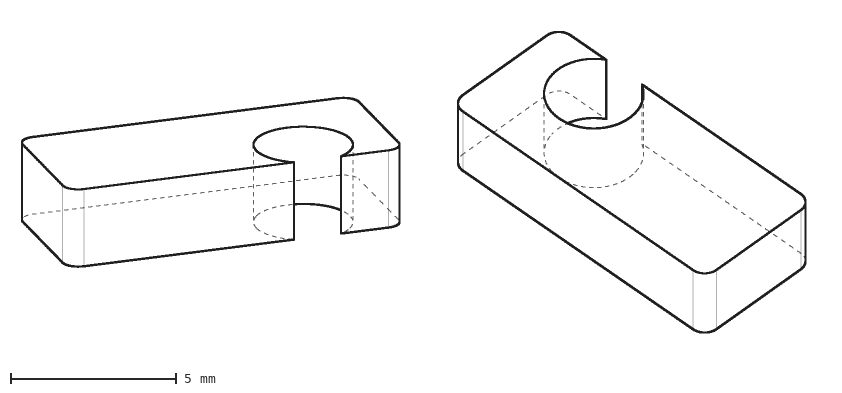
import cadquery as cq

width = 4.62
length = 10.74
height = 2.5
corner_radius = 0.5

hole_diameter = 3.0
hole_from_right_side = 1.3
hole_from_back_end = 2.77


def make_block():
    """Flat block with rounded vertical edges, centred in X and Y, base at Z = 0."""
    block = cq.Workplane("XY").box(width, length, height, centered=(True, True, False))
    return block.edges("|Z").fillet(corner_radius)


def make_hole_cutter():
    """Cylinder whose axis lies inside the block, near its +X side."""
    hole_x = width / 2 - hole_from_right_side
    hole_y = length / 2 - hole_from_back_end
    return cq.Workplane("XY").center(hole_x, hole_y).circle(hole_diameter / 2).extrude(height)


result = make_block().cut(make_hole_cutter())